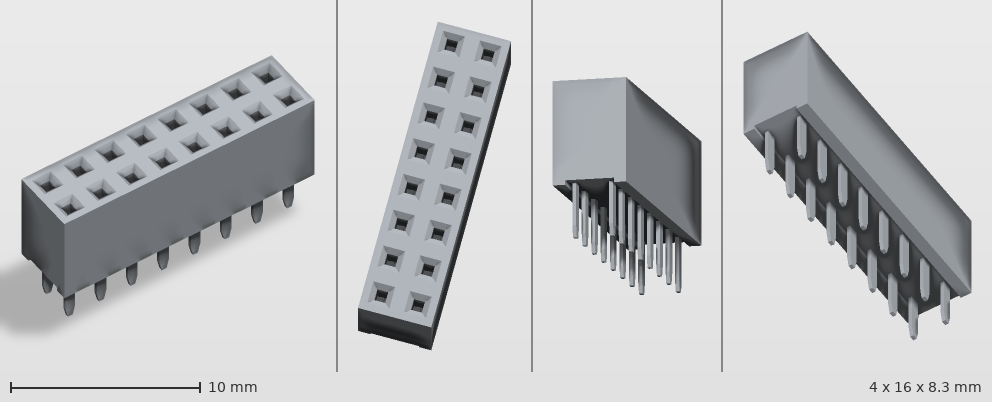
import cadquery as cq

ROWS = 8
COLUMNS = 2
PITCH = 2.0

HOUSING_X = COLUMNS * PITCH
HOUSING_Y = ROWS * PITCH
TOTAL_HEIGHT = 8.3
HOUSING_HEIGHT = 5.63
FOOT_WIDTH = 0.67
FOOT_HEIGHT = 0.24

LEAD_IN_SIZE = 1.2
BORE_SIZE = 0.6
LEAD_IN_DEPTH = (LEAD_IN_SIZE - BORE_SIZE) / 2
SOCKET_DEPTH = 2.0

PIN_THICKNESS = 0.2
PIN_WIDTH = 0.6
PIN_TIP_WIDTH = 0.3
PIN_TIP_LENGTH = 0.62
BLADE_WIDTH = 0.5
BLADE_HEIGHT = 0.32

HOUSING_BOTTOM = TOTAL_HEIGHT - HOUSING_HEIGHT
FOOT_TOP = HOUSING_BOTTOM + FOOT_HEIGHT
SOCKET_FLOOR = TOTAL_HEIGHT - SOCKET_DEPTH


def box_on(z, size_x, size_y, height):
    """Box centred on the Z axis, standing on height z."""
    return cq.Workplane("XY", origin=(0, 0, z)).rect(size_x, size_y).extrude(height)


def make_housing():
    """Block with a channel along Y that leaves a foot under each long side."""
    block = box_on(HOUSING_BOTTOM, HOUSING_X, HOUSING_Y, HOUSING_HEIGHT)
    channel = box_on(HOUSING_BOTTOM, HOUSING_X - 2 * FOOT_WIDTH, HOUSING_Y, FOOT_HEIGHT)
    return block.cut(channel)


def make_socket():
    """Cutter for one socket, centred on the Z axis."""
    bore = box_on(SOCKET_FLOOR, BORE_SIZE, BORE_SIZE, SOCKET_DEPTH)
    lead_in = (
        cq.Workplane("XY", origin=(0, 0, TOTAL_HEIGHT))
        .rect(LEAD_IN_SIZE, LEAD_IN_SIZE)
        .workplane(offset=-LEAD_IN_DEPTH)
        .rect(BORE_SIZE, BORE_SIZE)
        .loft()
    )
    blade = box_on(SOCKET_FLOOR, PIN_THICKNESS, BLADE_WIDTH, BLADE_HEIGHT)
    return bore.union(lead_in).cut(blade)


def make_pin():
    """Flat pin with a tapered tip, thin along X, reaching up to the channel."""
    return (
        cq.Workplane("YZ")
        .moveTo(-PIN_TIP_WIDTH / 2, 0)
        .lineTo(PIN_TIP_WIDTH / 2, 0)
        .lineTo(PIN_WIDTH / 2, PIN_TIP_LENGTH)
        .lineTo(PIN_WIDTH / 2, FOOT_TOP)
        .lineTo(-PIN_WIDTH / 2, FOOT_TOP)
        .lineTo(-PIN_WIDTH / 2, PIN_TIP_LENGTH)
        .close()
        .extrude(PIN_THICKNESS / 2, both=True)
    )


def on_every_contact(shape):
    """Copies of the shape at every contact of the grid."""
    return cq.Workplane("XY").rarray(PITCH, PITCH, COLUMNS, ROWS).eachpoint(shape.val(), combine=False)


sockets = on_every_contact(make_socket())
pins = on_every_contact(make_pin())
result = make_housing().cut(sockets).union(pins)